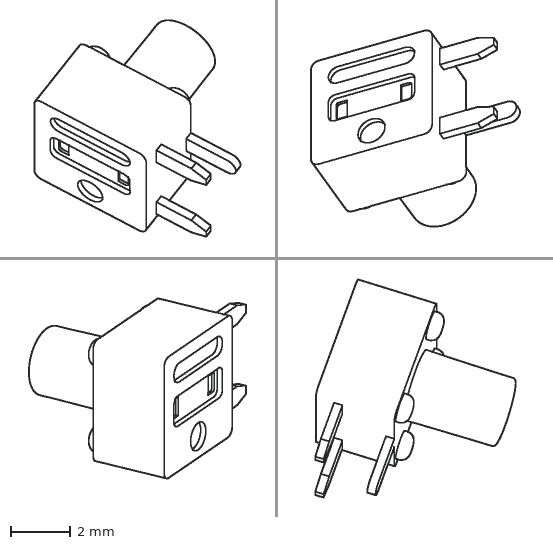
import cadquery as cq

overall_x = 6.5
housing_size = 4.5
housing_depth = 2.8
housing_corner_radius = 0.3

button_length = 3.2
button_base_diameter = 2.495
button_draft = 0.7
button_edge_radius = 0.1

rivet_diameter = 1.0
rivet_height = 0.395
rivet_edge_radius = 0.3
rivet_offset = 1.6

pin_width = 0.7
pin_thickness = 0.3
pin_spacing = 1.5
front_pin_y = 0.65
pin_taper_length = 0.6
pin_tip_width = 0.3
pin_root_depth = 0.13

recess_depth = 0.2
recess_length = 3.2
label_height = 0.7
label_z = 1.4
window_frame_height = 1.12
window_frame_corner_radius = 0.25
window_width = 0.4
window_height = 0.7
window_margin = 0.2
window_corner_radius = 0.1
window_depth = 0.1
gate_diameter = 1.0
gate_z = -1.45

pin_start_x = housing_size / 2 - pin_root_depth
pin_end_x = overall_x - housing_size / 2


def plane_at(y):
    """Plane parallel to the front face at depth y, its normal pointing along +Y, local x = -X."""
    return cq.Workplane(cq.Plane(origin=(0, y, 0), xDir=(-1, 0, 0), normal=(0, 1, 0)))


def make_housing():
    block = plane_at(0).rect(housing_size, housing_size).extrude(housing_depth)
    return block.edges("|Y").fillet(housing_corner_radius)


def make_button():
    button = (
        plane_at(housing_depth)
        .circle(button_base_diameter / 2)
        .extrude(button_length, taper=button_draft)
    )
    return button.faces(">Y").edges().fillet(button_edge_radius)


def make_rivets():
    rivets = (
        plane_at(housing_depth)
        .rect(2 * rivet_offset, 2 * rivet_offset, forConstruction=True)
        .vertices()
        .circle(rivet_diameter / 2)
        .extrude(rivet_height)
    )
    return rivets.faces(">Y").edges().fillet(rivet_edge_radius)


def make_tapered_pin(z):
    half_width = pin_width / 2
    half_tip = pin_tip_width / 2
    taper_x = pin_end_x - pin_taper_length
    outline = [
        (pin_start_x, z - half_width),
        (taper_x, z - half_width),
        (pin_end_x, z - half_tip),
        (pin_end_x, z + half_tip),
        (taper_x, z + half_width),
        (pin_start_x, z + half_width),
    ]
    pin = cq.Workplane("XZ").polyline(outline).close().extrude(-pin_thickness)
    return pin.translate((0, front_pin_y, 0))


def make_round_pin():
    half_width = pin_width / 2
    round_x = pin_end_x - half_width
    pin = (
        cq.Workplane("XZ")
        .moveTo(pin_start_x, -half_width)
        .lineTo(round_x, -half_width)
        .threePointArc((pin_end_x, 0), (round_x, half_width))
        .lineTo(pin_start_x, half_width)
        .close()
        .extrude(-pin_thickness)
    )
    return pin.translate((0, housing_depth - pin_thickness, 0))


def make_window(side):
    """Recess at the -X (side = -1) or +X (side = 1) end of the frame, rounded on its outer corners."""
    x = side * (recess_length / 2 - window_margin - window_width / 2)
    window = plane_at(recess_depth).rect(window_width, window_height).extrude(window_depth)
    outer_face = ">X" if side > 0 else "<X"
    return window.faces(outer_face).edges("|Y").fillet(window_corner_radius).translate((x, 0, 0))


def make_recesses():
    label = plane_at(0).center(0, label_z).slot2D(recess_length, label_height).extrude(recess_depth)
    frame = plane_at(0).rect(recess_length, window_frame_height).extrude(recess_depth)
    frame = frame.edges("|Y").fillet(window_frame_corner_radius)
    gate = plane_at(0).center(0, gate_z).circle(gate_diameter / 2).extrude(recess_depth)
    return [label, frame, gate, make_window(-1), make_window(1)]


result = make_housing().union(make_button()).union(make_rivets()).union(make_round_pin())
for pin_z in (-pin_spacing, pin_spacing):
    result = result.union(make_tapered_pin(pin_z))
for recess in make_recesses():
    result = result.cut(recess)